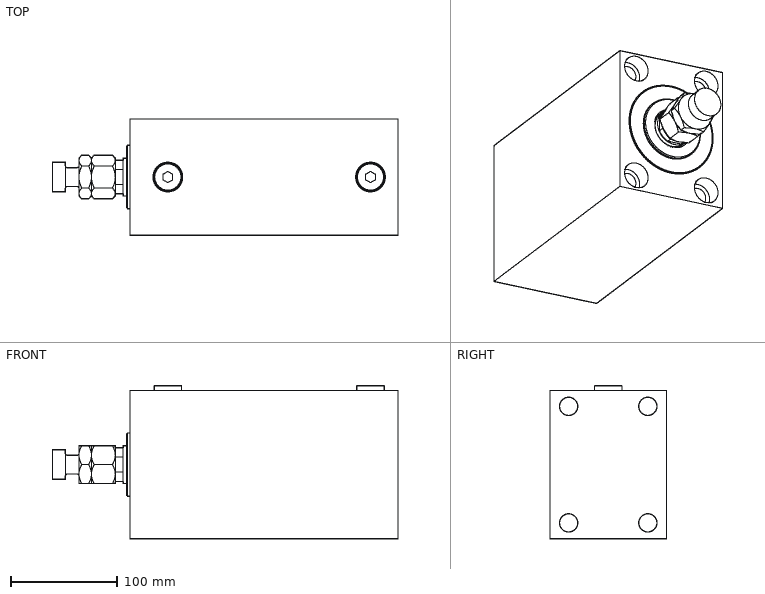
import cadquery as cq
import math


TOTAL_LENGTH = 326.0
HOUSING_WIDTH = 110.0
HOUSING_HEIGHT = 140.0
HOUSING_FRONT = 73.0
HOUSING_TOP = HOUSING_HEIGHT / 2

BOLT_SPACING_Y = 74.5
BOLT_SPACING_Z = 110.0
BOLT_DIAMETER = 17.0
COUNTERBORE_DIAMETER = 25.0
COUNTERBORE_DEPTH = 17.0

GLAND_DIAMETER = 89.3
GLAND_DEPTH = 19.5
GLAND_CHAMFER = 1.0
BOSS_DIAMETER = 60.0
BOSS_FRONT = 70.0
BOSS_CHAMFER = 1.0
WIPER_DIAMETER = 38.5
WIPER_DEPTH = 1.5

ROD_DIAMETER = 36.0
ROD_FRONT = 59.3
FLATS_END = 66.8
FLATS_WIDTH = 32.0
FLATS_DIAMETER = 35.0

HEAD_DIAMETER = 28.0
HEAD_LENGTH = 12.5
NECK_DIAMETER = 18.0
NECK_FILLET = 1.5
HEX_WIDTH = 36.0
HEX_FRONT = 25.0
HEX_JOINT = 37.0
HEX_FACE_DIAMETER = 36.0
HEX_CHAMFER = 2.5

PLUG_POSITIONS = (109.0, 300.0)
PLUG_DIAMETER = 26.0
PLUG_RISE = 5.0
PLUG_CHAMFER = 0.5
SPOT_FACE_DIAMETER = 28.0
SPOT_FACE_DEPTH = 1.0
SOCKET_WIDTH = 9.0
SOCKET_DEPTH = 3.3


def corner_diameter(width):
    """Diameter across the corners of a hexagon with this width across flats."""
    return width / math.cos(math.pi / 6)


def section_plane(x):
    """Plane across the rod axis at x, with its normal along +X."""
    return cq.Workplane("YZ", origin=(x, 0, 0))


def axial_cylinder(diameter, start, end):
    """Cylinder on the rod axis from start to end."""
    return section_plane(start).circle(diameter / 2).extrude(end - start)


def bolt_holes(diameter, depth):
    """Four corner cylinders going back from the housing front face."""
    return (
        section_plane(HOUSING_FRONT)
        .rect(BOLT_SPACING_Y, BOLT_SPACING_Z, forConstruction=True)
        .vertices()
        .circle(diameter / 2)
        .extrude(depth)
    )


def make_housing():
    length = TOTAL_LENGTH - HOUSING_FRONT
    block = section_plane(HOUSING_FRONT).rect(HOUSING_WIDTH, HOUSING_HEIGHT).extrude(length)
    gland_recess = axial_cylinder(GLAND_DIAMETER, HOUSING_FRONT, HOUSING_FRONT + GLAND_DEPTH)
    spot_faces = (
        cq.Workplane("XY", origin=(0, 0, HOUSING_TOP))
        .pushPoints([(x, 0) for x in PLUG_POSITIONS])
        .circle(SPOT_FACE_DIAMETER / 2)
        .extrude(-SPOT_FACE_DEPTH)
    )
    return (
        block.cut(bolt_holes(BOLT_DIAMETER, length))
        .cut(bolt_holes(COUNTERBORE_DIAMETER, COUNTERBORE_DEPTH))
        .cut(gland_recess)
        .cut(spot_faces)
    )


def make_gland():
    back = HOUSING_FRONT + GLAND_DEPTH
    disc = axial_cylinder(GLAND_DIAMETER, HOUSING_FRONT, back).faces("<X").chamfer(GLAND_CHAMFER)
    boss = axial_cylinder(BOSS_DIAMETER, BOSS_FRONT, back).faces("<X").chamfer(BOSS_CHAMFER)
    rod_bore = axial_cylinder(ROD_DIAMETER, BOSS_FRONT, back)
    wiper_recess = axial_cylinder(WIPER_DIAMETER, BOSS_FRONT, BOSS_FRONT + WIPER_DEPTH)
    return disc.union(boss).cut(rod_bore).cut(wiper_recess)


def make_rod():
    bar = axial_cylinder(ROD_DIAMETER, FLATS_END, HOUSING_FRONT + GLAND_DEPTH)
    flats_length = FLATS_END - ROD_FRONT
    square = section_plane(ROD_FRONT).rect(FLATS_WIDTH, FLATS_WIDTH).extrude(flats_length)
    flatted_end = axial_cylinder(FLATS_DIAMETER, ROD_FRONT, FLATS_END).intersect(square)
    return bar.union(flatted_end)


def chamfered_hex(start, end):
    """Hexagon along X whose corners are turned down to cones at both ends."""
    corners = corner_diameter(HEX_WIDTH)
    prism = section_plane(start).polygon(6, corners).extrude(end - start)
    turned_profile = [
        (start, 0),
        (start, HEX_FACE_DIAMETER / 2),
        (start + HEX_CHAMFER, corners / 2),
        (end - HEX_CHAMFER, corners / 2),
        (end, HEX_FACE_DIAMETER / 2),
        (end, 0),
    ]
    turned = cq.Workplane("XZ").polyline(turned_profile).close().revolve(360, (0, 0), (1, 0))
    return prism.intersect(turned)


def make_coupling():
    head_radius = HEAD_DIAMETER / 2
    neck_radius = NECK_DIAMETER / 2
    fillet_top = neck_radius + NECK_FILLET
    fillet_offset = NECK_FILLET * (1 - math.sqrt(0.5))
    stud = (
        cq.Workplane("XZ")
        .lineTo(0, head_radius)
        .lineTo(HEAD_LENGTH, head_radius)
        .lineTo(HEAD_LENGTH, fillet_top)
        .threePointArc(
            (HEAD_LENGTH + fillet_offset, neck_radius + fillet_offset),
            (HEAD_LENGTH + NECK_FILLET, neck_radius),
        )
        .lineTo(HEX_FRONT - NECK_FILLET, neck_radius)
        .threePointArc(
            (HEX_FRONT - fillet_offset, neck_radius + fillet_offset),
            (HEX_FRONT, fillet_top),
        )
        .lineTo(HEX_FRONT, 0)
        .close()
        .revolve(360, (0, 0), (1, 0))
    )
    short_hex = chamfered_hex(HEX_FRONT, HEX_JOINT)
    long_hex = chamfered_hex(HEX_JOINT, ROD_FRONT)
    return stud.union(short_hex).union(long_hex)


def make_plug(x):
    top = HOUSING_TOP + PLUG_RISE
    disc = (
        cq.Workplane("XY", origin=(x, 0, top))
        .circle(PLUG_DIAMETER / 2)
        .extrude(-PLUG_RISE - SPOT_FACE_DEPTH)
        .faces(">Z")
        .chamfer(PLUG_CHAMFER)
    )
    socket = (
        cq.Workplane("XY", origin=(x, 0, top))
        .transformed(rotate=(0, 0, 90))
        .polygon(6, corner_diameter(SOCKET_WIDTH))
        .extrude(-SOCKET_DEPTH)
    )
    return disc.cut(socket)


housing = make_housing()
gland = make_gland()
rod = make_rod()
coupling = make_coupling()
plugs = [make_plug(x) for x in PLUG_POSITIONS]

result = cq.Compound.makeCompound([
    housing.val(),
    gland.val(),
    rod.val(),
    coupling.val(),
    *[plug.val() for plug in plugs],
])